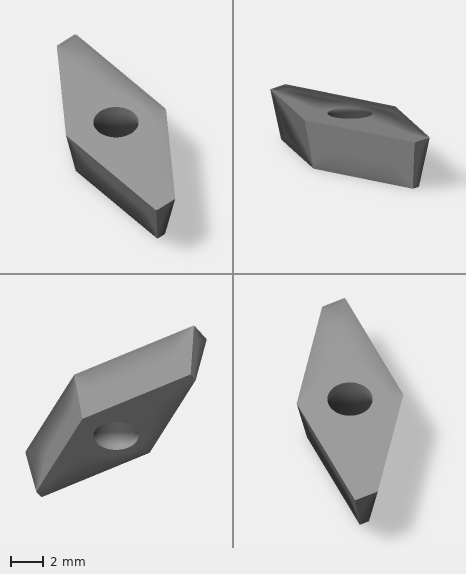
import cadquery as cq
import math

inscribed_circle = 6.35
thickness = 3.18
length = 15.79
hole_diameter = 2.8
nose_radius = 0.08

rhombus_angle = 35.0
clearance_angle = 11.0
end_tilt = 4.0

inscribed_radius = inscribed_circle / 2

nose_angle = 90 - end_tilt
nose_setback = nose_radius / math.tan(math.radians(nose_angle / 2)) - nose_radius
sharp_half_length = length / 2 + nose_setback


def sharp_outline():
    """Closed outline of the top face: a rhombus with both acute corners cut off."""
    flank_slope = math.tan(math.radians(rhombus_angle))
    obtuse_x = inscribed_radius * math.tan(math.radians(rhombus_angle / 2))

    lean = math.tan(math.radians(end_tilt))
    flank_y_at_nose = inscribed_radius - flank_slope * (sharp_half_length - obtuse_x)
    end_height = (inscribed_radius + flank_y_at_nose) / (1 - flank_slope * lean)

    right_half = [
        (sharp_half_length, -inscribed_radius),
        (sharp_half_length - lean * end_height, end_height - inscribed_radius),
        (obtuse_x, inscribed_radius),
    ]
    left_half = [(-x, -y) for x, y in right_half]
    return right_half + left_half + right_half[:1]


def insert_body():
    """Plate whose sides lean inward from the top face down to the bottom face.

    The lean shrinks each nose round to a sharp edge a little below the top face.
    """
    top_face = cq.Sketch().polygon(sharp_outline()).vertices("<X or >X").fillet(nose_radius)
    return (
        cq.Workplane("XY", origin=(0, 0, thickness))
        .placeSketch(top_face)
        .extrude(-thickness, taper=clearance_angle)
    )


def screw_hole():
    """Straight hole through the centre of the insert."""
    return cq.Workplane("XY").circle(hole_diameter / 2).extrude(thickness)


result = insert_body().cut(screw_hole())